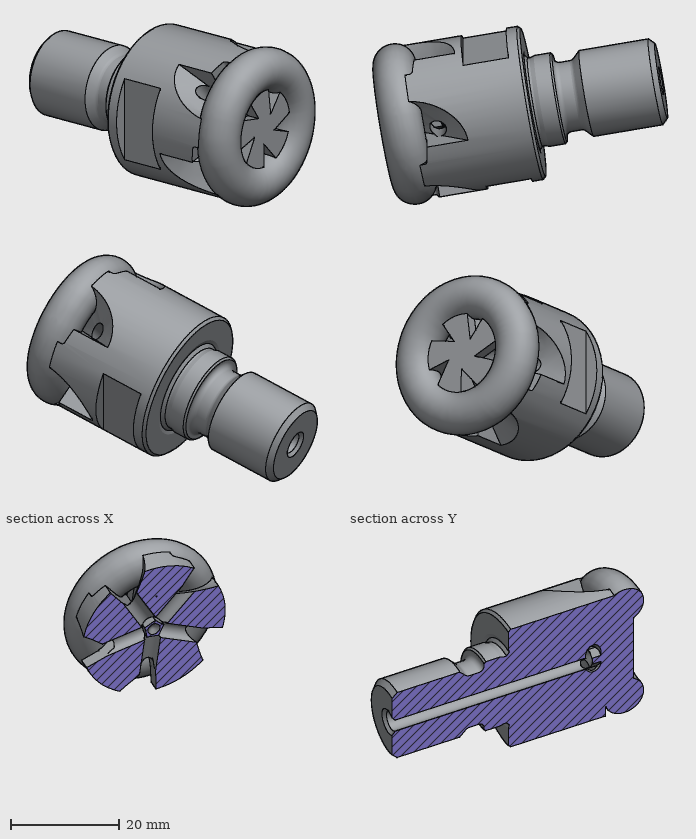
import cadquery as cq
import math


stud_radius = 8.05
stud_chamfer = 1.05
stud_end_x = 14.0
neck_radius = 6.5
neck_cone_end_x = 15.25
neck_cone_end_radius = 6.8
neck_start_x = 15.85
neck_end_x = 17.9
collar_start_x = 19.0
collar_radius = 8.55
collar_chamfer = 0.35
collar_end_x = 22.25

undercut_radius = 8.25
undercut_start_x = 23.1
undercut_end_x = 23.6
undercut_bottom_x = 24.2
undercut_bottom_radius = 8.95
undercut_outer_radius = 9.65

body_start_x = 23.95
body_radius = 14.35
body_chamfer = 0.5
body_end_x = 49.9
flat_start_x = 26.45
flat_end_x = 34.95
flat_offset = 11.95

overall_length = 52.0
ring_outer_radius = 15.0
insert_radius = 4.0
ring_x = overall_length - insert_radius
ring_radius = ring_outer_radius - insert_radius

pocket_count = 5
first_pocket_angle = 52.4
pocket_start_x = 36.25
pocket_radius = 11.35
pocket_axis_x = pocket_start_x + pocket_radius
pocket_apex = body_radius - pocket_radius
pocket_margin = 2.6

seat_depth = 3.45
seat_bottom_setback = 0.6
seat_corner_radius = 0.6
seat_gap = 0.1
seat_start_x = ring_x - insert_radius - seat_gap
seat_floor_radius = 10.65

bore_radius = 2.0
bore_mouth_radius = 2.6
bore_depth = 41.1
bore_tip_length = 1.15
branch_x = 41.55
branch_radius = 1.55
branch_start_radius = 1.65
branch_turn = 9.0


def turned_body():
    """Shank and body turned about X."""
    relief_radius = collar_start_x - neck_end_x
    diagonal = relief_radius * math.sqrt(0.5)
    profile = (
        cq.Workplane("XY")
        .lineTo(0, stud_radius - stud_chamfer)
        .lineTo(stud_chamfer, stud_radius)
        .lineTo(stud_end_x, stud_radius)
        .lineTo(neck_cone_end_x, neck_cone_end_radius)
        .tangentArcPoint((neck_start_x, neck_radius), relative=False)
        .lineTo(neck_end_x, neck_radius)
        .threePointArc(
            (neck_end_x + diagonal, neck_radius + relief_radius - diagonal),
            (collar_start_x, neck_radius + relief_radius),
        )
        .lineTo(collar_start_x, collar_radius - collar_chamfer)
        .lineTo(collar_start_x + collar_chamfer, collar_radius)
        .lineTo(collar_end_x, collar_radius)
        .lineTo(undercut_start_x, undercut_radius)
        .lineTo(undercut_end_x, undercut_radius)
        .lineTo(undercut_bottom_x, undercut_bottom_radius)
        .lineTo(body_start_x, undercut_outer_radius)
        .lineTo(body_start_x, body_radius - body_chamfer)
        .lineTo(body_start_x + body_chamfer, body_radius)
        .lineTo(body_end_x, body_radius)
        .lineTo(body_end_x, 0)
        .close()
    )
    return profile.revolve(360, (0, 0, 0), (1, 0, 0))


def wrench_flat(side):
    """Cutter for the flat on the +Y (side = 1) or -Y (side = -1) side."""
    depth = body_radius - flat_offset
    return cq.Workplane("XY").box(
        flat_end_x - flat_start_x, depth, 2 * body_radius
    ).translate(((flat_start_x + flat_end_x) / 2, side * (flat_offset + depth / 2), 0))


def chip_pocket():
    """Half cone on the +Z side of its wall, running out through the end of the body."""
    size = pocket_radius + pocket_margin
    cone = cq.Workplane(
        cq.Solid.makeCone(
            0, size, size, cq.Vector(pocket_axis_x, pocket_apex, 0), cq.Vector(0, 1, 0)
        )
    )
    open_side = cq.Workplane("XY").box(2 * size, size, size, centered=(True, False, False))
    half_cone = cone.intersect(open_side.translate((pocket_axis_x, pocket_apex, 0)))
    run_out = (
        cq.Workplane("YZ", origin=(pocket_axis_x, 0, 0))
        .moveTo(pocket_apex, 0)
        .lineTo(pocket_apex + size, 0)
        .lineTo(pocket_apex + size, size)
        .close()
        .extrude(overall_length - pocket_axis_x)
    )
    return half_cone.union(run_out)


def insert_seat():
    """Tapered recess behind the pocket wall, open outwards and towards the body end."""
    return (
        cq.Workplane("XZ", origin=(0, seat_floor_radius, 0))
        .moveTo(seat_start_x, 0)
        .lineTo(body_end_x, 0)
        .lineTo(body_end_x, -seat_depth)
        .lineTo(seat_start_x + seat_bottom_setback, -seat_depth)
        .close()
        .extrude(seat_floor_radius - body_radius)
        .edges("|Y")
        .edges("<Z")
        .edges("<X")
        .fillet(seat_corner_radius)
    )


def coolant_branch():
    """Radial hole from the central bore to the floor of a chip pocket."""
    hole = cq.Solid.makeCylinder(
        branch_radius,
        body_radius - branch_start_radius,
        cq.Vector(branch_x, branch_start_radius, 0),
        cq.Vector(0, 1, 0),
    )
    return cq.Workplane(hole).rotate((0, 0, 0), (1, 0, 0), branch_turn)


def central_bore():
    """Blind bore with a countersunk mouth and a conical tip."""
    mouth_depth = bore_mouth_radius - bore_radius
    return (
        cq.Workplane("XY")
        .lineTo(0, bore_mouth_radius)
        .lineTo(mouth_depth, bore_radius)
        .lineTo(bore_depth, bore_radius)
        .lineTo(bore_depth + bore_tip_length, 0)
        .close()
        .revolve(360, (0, 0, 0), (1, 0, 0))
    )


def insert_ring():
    """Torus around the body end."""
    return cq.Workplane(
        cq.Solid.makeTorus(
            ring_radius, insert_radius, cq.Vector(ring_x, 0, 0), cq.Vector(1, 0, 0)
        )
    )


body = turned_body().cut(central_bore())
for side in (1, -1):
    body = body.cut(wrench_flat(side))

pocket_tools = (chip_pocket(), insert_seat(), coolant_branch())
for index in range(pocket_count):
    angle = first_pocket_angle + index * 360 / pocket_count
    for tool in pocket_tools:
        body = body.cut(tool.rotate((0, 0, 0), (1, 0, 0), angle))

result = body.union(insert_ring())